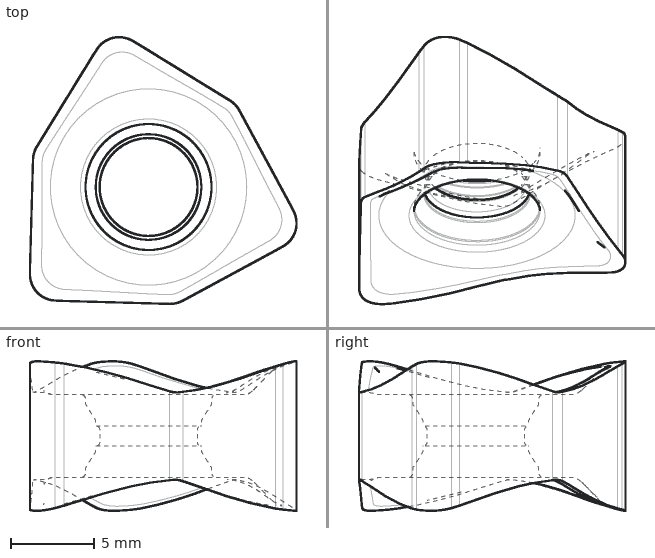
import cadquery as cq
import math


def cosine(degrees):
    return math.cos(math.radians(degrees))


def sine(degrees):
    return math.sin(math.radians(degrees))


def tangent(degrees):
    return math.tan(math.radians(degrees))


height = 9.0
edge_distance = 6.99
corner_radius = 1.59
shallow_radius = 1.6
corner_angle = 223.4
corner_count = 3
sector = 360 / corner_count
half_sector = sector / 2
side_angle = 45
shallow_angle = half_sector - side_angle
shallow_inset = edge_distance - shallow_radius

facet_start = 4.87
facet_turn = 1
facet_normal = side_angle - facet_turn
facet_distance = edge_distance * cosine(facet_turn) + facet_start * sine(facet_turn)
facet_inset = facet_distance - corner_radius

rim_mid_height = 2.97
rim_slope = 0.28
rim_skew = 0.22
rim_floor = 2.55
rim_ceiling = 4.54
rim_rounding = 0.25

seat_height = 2.5
seat_radius = 5.9
land_share = 0.08
land_corner_share = 0.02
land_drop = 0.14
bowl_waviness = 0.9
bowl_steps = 4

hole_radius = 2.93
throat_rounding = 0.24
throat_depth = 2.13
ledge_depth = 1.57
cone_depth = 0.6
cone_top_radius = 3.78
cone_rounding = 0.16
mouth_rounding = 0.3

overhang = 0.7
points_per_sector = 40


def polar(radius, angle, z):
    return cq.Vector(radius * cosine(angle), radius * sine(angle), z)


def along_side(offset):
    """Position along a side, from its middle normal toward the sharp corner offset degrees away."""
    return edge_distance * tangent(side_angle - abs(offset))


def arc_reach(inset, normal_angle, radius, offset):
    """Distance from the axis to a rounded corner whose center lies inset along both of its side normals."""
    center_distance = inset / cosine(normal_angle)
    return center_distance * cosine(offset) + math.sqrt(radius**2 - (center_distance * sine(offset)) ** 2)


def outline_radius(offset):
    """Distance from the axis to the outline, offset degrees away from a sharp corner."""
    along_facet = facet_distance * tangent(facet_normal - abs(offset))
    if along_facet > facet_inset * tangent(facet_normal):
        return arc_reach(facet_inset, facet_normal, corner_radius, offset)
    if along_side(offset) > facet_start:
        return math.hypot(facet_distance, along_facet)
    if along_side(offset) < -shallow_inset * tangent(shallow_angle):
        return arc_reach(shallow_inset, shallow_angle, shallow_radius, half_sector - abs(offset))
    return math.hypot(edge_distance, along_side(offset))


def smooth_min(a, b):
    return (a + b - math.hypot(a - b, rim_rounding)) / 2


def smooth_max(a, b):
    return -smooth_min(-a, -b)


def rim_height(offset):
    slope_line = rim_mid_height + rim_slope * along_side(offset) + rim_skew * sine(corner_count * offset)
    return smooth_min(smooth_max(slope_line, rim_floor), rim_ceiling)


def ring(radius_at, height_at):
    """Closed curve around the axis; radius and height are functions of the offset from a sharp corner."""
    points = []
    for corner in range(corner_count):
        for step in range(points_per_sector):
            offset = sector * step / points_per_sector - half_sector
            angle = corner_angle + corner * sector + offset
            points.append(polar(radius_at(offset), angle, height_at(offset)))
    return cq.Wire.assembleEdges([cq.Edge.makeSpline(points, periodic=True)])


def land_radius(offset, crossing):
    """Distance from the axis to the land; crossing runs from 0 at the outline to 1 at the inner edge."""
    corner_share = land_corner_share * cosine(90 * offset / half_sector) ** 2
    return outline_radius(offset) * (1 - crossing * (land_share + corner_share))


def land_ring(crossing):
    """Curve on the land, which falls steadily inward from the rim."""
    return ring(
        lambda offset: land_radius(offset, crossing),
        lambda offset: rim_height(offset) - crossing * land_drop * (rim_height(offset) - seat_height),
    )


def bowl_ring(climb):
    """Curve on the bowl; climb runs from 0 at the seat to 1 at the inner edge of the land."""
    wave = climb**2 * (3 - 2 * climb)
    rise = (1 - land_drop) * (climb + bowl_waviness * (wave - climb))
    return ring(
        lambda offset: seat_radius + climb * (land_radius(offset, 1) - seat_radius),
        lambda offset: seat_height + rise * (rim_height(offset) - seat_height),
    )


def loft_faces(rings, ruled):
    return cq.occ_impl.shapes.loft(rings, ruled=ruled).Faces()


def top_cutter():
    """Everything above the land, the bowl and the seat."""
    outer_ring = land_ring(-overhang)
    lid_ring = ring(lambda offset: land_radius(offset, -overhang), lambda offset: height)
    bowl_rings = [bowl_ring(step / bowl_steps) for step in range(bowl_steps + 1)]
    seat_ring = bowl_rings[0]
    inner_ring = bowl_rings[-1]
    faces = [cq.Face.makeFromWires(seat_ring), cq.Face.makeFromWires(lid_ring)]
    faces += loft_faces(bowl_rings, ruled=False)
    faces += loft_faces([inner_ring, outer_ring], ruled=True)
    faces += loft_faces([outer_ring, lid_ring], ruled=True)
    return cq.Workplane(cq.Solid.makeSolid(cq.Shell.makeShell(faces)))


def blank():
    """Upright prism with the facets, and with the sharp and shallow corners rounded."""
    facet_reach = math.hypot(edge_distance, facet_start)
    facet_offset = side_angle - math.degrees(math.atan2(facet_start, edge_distance))
    outline = []
    roundings = []
    for corner in range(corner_count):
        angle = corner_angle + corner * sector
        sharp = polar(facet_distance / cosine(facet_normal), angle, 0)
        shallow = polar(edge_distance / cosine(shallow_angle), angle + half_sector, 0)
        before = polar(facet_reach, angle - facet_offset, 0)
        after = polar(facet_reach, angle + facet_offset, 0)
        outline += [before, sharp, after, shallow]
        roundings += [(sharp, corner_radius), (shallow, shallow_radius)]
    prism = cq.Workplane().polyline([(point.x, point.y) for point in outline]).close()
    prism = prism.extrude(height / 2, both=True)
    for point, radius in roundings:
        prism = prism.edges(cq.NearestToPointSelector(point.toTuple())).fillet(radius)
    return prism


def hole():
    """Bore with the same rounded throat, cone and rounded mouth at both ends."""
    ledge_radius = hole_radius + throat_rounding
    ledge_height = seat_height - ledge_depth
    cone_top_height = seat_height - cone_depth
    half = (
        cq.Workplane("XZ")
        .lineTo(hole_radius, 0)
        .lineTo(hole_radius, seat_height - throat_depth)
        .tangentArcPoint((throat_rounding, throat_rounding))
        .lineTo(ledge_radius, ledge_height)
        .lineTo(cone_top_radius, cone_top_height)
        .lineTo(cone_top_radius, seat_height - mouth_rounding)
        .tangentArcPoint((mouth_rounding, mouth_rounding))
        .lineTo(0, seat_height)
        .close()
        .revolve(360, (0, 0, 0), (0, 1, 0))
    )
    for level in (ledge_height, cone_top_height):
        circle = half.edges("%CIRCLE").edges(cq.NearestToPointSelector((0, 0, level)))
        half = circle.fillet(cone_rounding)
    return half.union(half.mirror("XY"))


upper = top_cutter()
lower = upper.rotate((0, 0, 0), polar(1, corner_angle, 0).toTuple(), 180)
result = blank().cut(upper).cut(lower).cut(hole())